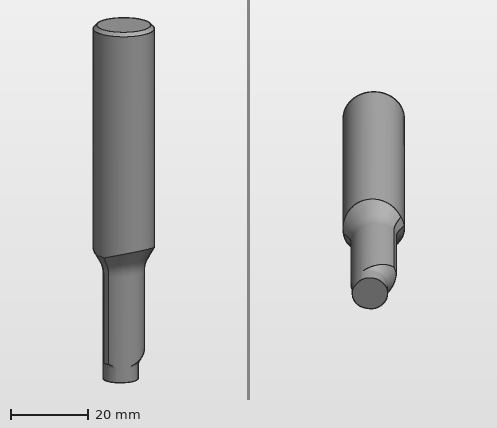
import cadquery as cq
import math

total_length = 94.7
shank_radius = 8.0
top_chamfer = 0.9

neck_half_width = 9.6 / 2
neck_half_depth = 5.9
flat_half_width = 2.0 / 2
neck_top = 28.7
neck_flare_fillet = 6.3

tip_radius = 9.2 / 2
tip_center_y = -1.0
tip_top = 3.8
tip_flare_fillet = 1.7

flare_angle = math.radians(30)
flare_reach = 14.2

arc_rise = neck_half_width - flat_half_width
side_arc_radius = (neck_half_depth**2 + arc_rise**2) / (2 * arc_rise)
side_arc_offset = side_arc_radius - neck_half_width


def flared_edge(start, radius, flare_base, fillet):
    """Outer edge: vertical wall, tangent fillet, sloping flare, then vertical to the top."""
    middle = flare_angle / 2
    arc_middle = (radius + fillet * (1 - math.cos(middle)), flare_base + fillet * math.sin(middle))
    arc_end_x = radius + fillet * (1 - math.cos(flare_angle))
    arc_end_z = flare_base + fillet * math.sin(flare_angle)
    outer_x = radius + flare_reach
    outer_z = arc_end_z + (outer_x - arc_end_x) / math.tan(flare_angle)
    return (
        start.lineTo(radius, flare_base)
        .threePointArc(arc_middle, (arc_end_x, arc_end_z))
        .lineTo(outer_x, outer_z)
        .lineTo(outer_x, total_length)
    )


def flared_round(center_x, center_y, radius, flare_base, fillet):
    """Solid of revolution about a vertical axis, flaring outward above flare_base."""
    start = cq.Workplane("XZ").lineTo(radius, 0)
    profile = flared_edge(start, radius, flare_base, fillet).lineTo(0, total_length).close()
    return profile.revolve(360, (0, 0, 0), (0, 1, 0)).translate((center_x, center_y, 0))


def flared_flats():
    """Slab bounded by the two neck flats, flaring outward above the neck."""
    start = cq.Workplane("YZ").lineTo(neck_half_depth, 0)
    half = flared_edge(start, neck_half_depth, neck_top, neck_flare_fillet)
    half = half.lineTo(0, total_length).close().extrude(2 * shank_radius, both=True)
    return half.union(half.mirror("XZ"))


result = cq.Workplane("XY").circle(shank_radius).extrude(total_length)
result = result.faces(">Z").chamfer(top_chamfer)

for side in (-1, 1):
    side_body = flared_round(side * side_arc_offset, 0, side_arc_radius, neck_top, neck_flare_fillet)
    result = result.intersect(side_body)
result = result.intersect(flared_flats())

result = result.intersect(flared_round(0, tip_center_y, tip_radius, tip_top, tip_flare_fillet))